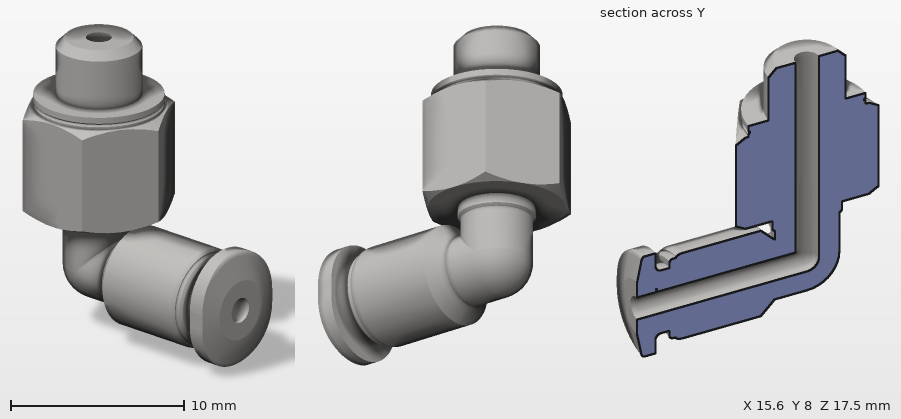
import cadquery as cq
import math


bore_radius = 0.75
elbow_radius = 2.1

stem_top = 14.0
stem_radius = 2.5
stem_chamfer = 0.5
collar_bottom = 2.66
collar_radius = 2.25
collar_chamfer = collar_radius - elbow_radius
hex_bottom = 3.4
hex_top = 9.76
hex_across_flats = 8.0
hex_chamfer_angle = 30.0
flange_top = 10.52
flange_radius = 3.8
flange_groove_bottom = 9.94
flange_groove_width = 0.21
flange_groove_depth = 0.1

sleeve_radius = 3.0
shoulder_end = sleeve_radius
sleeve_end = 8.05
sleeve_round_end = 8.49
sleeve_round_radius = 2.85
lip_radius = 2.78
lip_chamfer = 0.15
lip_end = 8.9
neck_radius = 2.2
flare_start = 9.43
flare_size = 0.35

ring_start = flare_start + flare_size
ring_end = 11.0
ring_height = 7.0
ring_width = 2 * sleeve_radius
dome_rim_start = 10.55
dome_cone_start = 10.73
dome_cone_radius = 3.25
dome_flat_radius = 1.8


def make_upright_leg(radius, length):
    """Round leg from the elbow centre up Z."""
    return cq.Workplane("XY").circle(radius).extrude(length)


def make_level_leg(radius, length):
    """Round leg from the elbow centre along X."""
    return cq.Workplane("YZ").circle(radius).extrude(length)


def make_corner(radius):
    """Sphere that rounds the outside of the elbow."""
    return cq.Workplane("XY").sphere(radius)


def make_hexagon():
    """Hexagon with corners on X and a conical chamfer at both ends."""
    across_corners = hex_across_flats / math.cos(math.radians(30))
    corner_radius = across_corners / 2
    flat_radius = hex_across_flats / 2
    chamfer_drop = (corner_radius - flat_radius) * math.tan(math.radians(hex_chamfer_angle))
    prism = (
        cq.Workplane("XY", origin=(0, 0, hex_bottom))
        .polygon(6, across_corners)
        .extrude(hex_top - hex_bottom)
    )
    envelope = (
        cq.Workplane("XZ")
        .moveTo(0, hex_bottom)
        .lineTo(flat_radius, hex_bottom)
        .lineTo(corner_radius, hex_bottom + chamfer_drop)
        .lineTo(corner_radius, hex_top - chamfer_drop)
        .lineTo(flat_radius, hex_top)
        .lineTo(0, hex_top)
        .close()
        .revolve(360, (0, 0, 0), (0, 1, 0))
    )
    return prism.intersect(envelope)


def make_stem():
    """Round parts of the stem, from the collar below the hexagon to the chamfered top."""
    groove_radius = flange_radius - flange_groove_depth
    groove_top = flange_groove_bottom + flange_groove_width
    return (
        cq.Workplane("XZ")
        .moveTo(0, collar_bottom)
        .lineTo(elbow_radius, collar_bottom)
        .lineTo(collar_radius, collar_bottom + collar_chamfer)
        .lineTo(collar_radius, hex_top)
        .lineTo(flange_radius, hex_top)
        .lineTo(flange_radius, flange_groove_bottom)
        .lineTo(groove_radius, flange_groove_bottom + flange_groove_width / 2)
        .lineTo(flange_radius, groove_top)
        .lineTo(flange_radius, flange_top)
        .lineTo(stem_radius, flange_top)
        .lineTo(stem_radius, stem_top - stem_chamfer)
        .lineTo(stem_radius - stem_chamfer, stem_top)
        .lineTo(0, stem_top)
        .close()
        .revolve(360, (0, 0, 0), (0, 1, 0))
    )


def make_arm():
    """Shoulder cone, sleeve and flared neck, revolved about X."""
    flare_radius = neck_radius + flare_size
    flare_mid_step = flare_size * math.sqrt(0.5)
    flare_middle = (flare_start + flare_mid_step, flare_radius - flare_mid_step)
    return (
        cq.Workplane("XZ")
        .moveTo(elbow_radius, 0)
        .lineTo(elbow_radius, elbow_radius)
        .lineTo(shoulder_end, sleeve_radius)
        .lineTo(sleeve_end, sleeve_radius)
        .tangentArcPoint((sleeve_round_end, sleeve_round_radius), relative=False)
        .lineTo(sleeve_round_end, lip_radius)
        .lineTo(lip_end - lip_chamfer, lip_radius)
        .lineTo(lip_end, lip_radius - lip_chamfer)
        .lineTo(lip_end, neck_radius)
        .lineTo(flare_start, neck_radius)
        .threePointArc(flare_middle, (ring_start, flare_radius))
        .lineTo(ring_start, 0)
        .close()
        .revolve(360, (0, 0, 0), (1, 0, 0))
    )


def make_release_ring():
    """Oval plate, taller along Z, trimmed by a dome about the arm axis."""
    oval = (
        cq.Workplane("YZ", origin=(ring_start, 0, 0))
        .slot2D(ring_height, ring_width, 90)
        .extrude(ring_end - ring_start)
    )
    dome = (
        cq.Workplane("XZ")
        .moveTo(ring_start, 0)
        .lineTo(ring_end, 0)
        .lineTo(ring_end, dome_flat_radius)
        .lineTo(dome_cone_start, dome_cone_radius)
        .tangentArcPoint((dome_rim_start, ring_height / 2), relative=False)
        .lineTo(ring_start, ring_height / 2)
        .close()
        .revolve(360, (0, 0, 0), (1, 0, 0))
    )
    return oval.intersect(dome)


upright_side = make_upright_leg(elbow_radius, hex_bottom).union(make_stem()).union(make_hexagon())
level_side = make_level_leg(elbow_radius, elbow_radius).union(make_arm()).union(make_release_ring())
body = level_side.union(upright_side).union(make_corner(elbow_radius))

upright_bore = make_upright_leg(bore_radius, stem_top)
level_bore = make_level_leg(bore_radius, ring_end)
bore = upright_bore.union(level_bore).union(make_corner(bore_radius))

result = body.cut(bore)